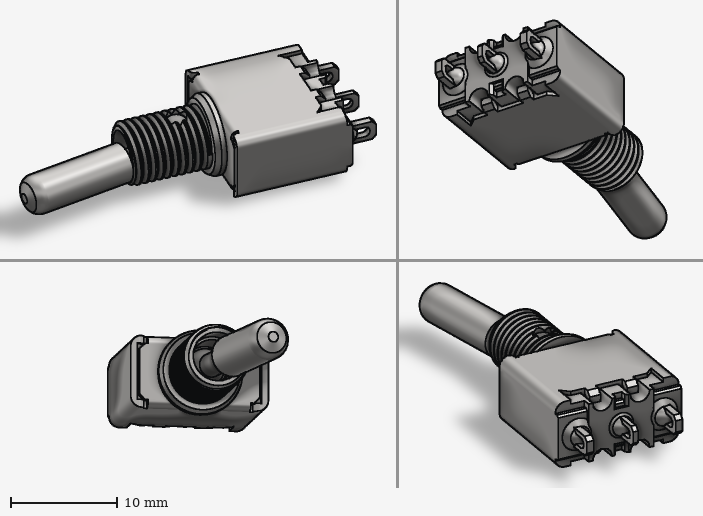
import cadquery as cq
import math

CASE_FRONT_Y = 0.0

CASE_WIDTH = 13.2
CASE_HEIGHT = 6.85
CASE_REAR_Y = 11.15
CASE_CORNER_RADIUS = 1.02
FOLD_HALF_WIDTH = 4.92
FOLD_RADIUS = 0.75
RELIEF_WIDTH = 0.3
RELIEF_DEPTH = 0.7
RELIEF_LIP_RADIUS = 0.55
RIM_THICKNESS = 0.65
RIM_GAP = 0.2
RIM_GAP_DEPTH = 0.53

BASE_HEIGHT = 6.05
SHEET_THICKNESS = (CASE_HEIGHT - BASE_HEIGHT) / 2
NOTCH_FLOOR_Y = 9.53
NOTCH_CORNER_X = 4.08
NOTCH_CORNER_Y = 8.75

CORE_HEIGHT = 4.78
CORE_REAR_Y = 11.7
CORE_CHAMFER = 0.2
BLOCK_WIDTH = 6.95
BLOCK_REAR_Y = 12.0
CHANNEL_X = 2.0
CHANNEL_RADIUS = 1.02
SLOT_WIDTH = 1.0
SLOT_MOUTH_WIDTH = 1.55
SLOT_DEPTH = 1.2
TAB_WIDTH = 1.15
TAB_LENGTH = 1.02
TAB_BEND = 0.5
TAB_THICKNESS = 0.7

TERMINAL_SPACING = 4.75
TERMINAL_WIDTH = 2.05
TERMINAL_CHAMFER = 0.42
OUTER_TERMINAL_THICKNESS = 0.75
CENTRE_TERMINAL_THICKNESS = 0.53
OUTER_TERMINAL_TIP_Y = 14.65
CENTRE_TERMINAL_TIP_Y = 14.85
EYE_WIDTH = 1.05
EYE_START_Y = 12.3
EYE_END_MARGIN = 0.65
OUTER_SEAL_SPACING = 4.5
SEAL_BASE_RADIUS = 1.65
SEAL_SHOULDER_RADIUS = 1.02
SEAL_SHOULDER_HEIGHT = 0.5
SEAL_HEIGHT = 1.2

FLANGE_RADIUS = 4.0
FLANGE_FACE_RADIUS = 3.7
FLANGE_STRAIGHT = 0.53
FLANGE_THICKNESS = 1.1
BUSHING_LENGTH = 9.0
THREAD_RADIUS = 3.13
THREAD_TURNS = 12
THREAD_PITCH = BUSHING_LENGTH / THREAD_TURNS
THREAD_DEPTH = 0.42
THREAD_START = 1.15
GROOVE_FILL = 0.92
SHANK_SEAM_ANGLE = 60
BUSHING_END_CHAMFER = 0.35
BORE_RADIUS = 2.32
BORE_DEPTH = 2.45
THROAT_RADIUS = 2.05
SPOT_RADIUS = 1.0
SPOT_DISTANCE = 3.55
SPOT_FLOOR_Z = 2.45

PIVOT_Y = -2.8
LEVER_TILT = 10.5
BALL_RADIUS = 1.83
NECK_RADIUS = 1.13
HANDLE_RADIUS = 1.97
HANDLE_START = 6.82
NOSE_START = 16.25
NOSE_BULGE_RADIUS = 1.83
NOSE_BULGE = 16.88
NOSE_CONE_RADIUS = 1.48
NOSE_CONE_START = 17.3
TIP_RADIUS = 0.5
LEVER_LENGTH = 17.72


def block(x_range, y_range, z_range):
    """Axis-aligned box between pairs of coordinates."""
    (x0, x1), (y0, y1), (z0, z1) = x_range, y_range, z_range
    return cq.Workplane("XY").box(x1 - x0, y1 - y0, z1 - z0, centered=False).translate((x0, y0, z0))


def top_and_bottom(shape):
    """The shape with its mirror image below the XY plane."""
    return shape.union(shape.mirror("XY"))


def left_and_right(shape):
    """The shape with its mirror image across the YZ plane."""
    return shape.union(shape.mirror("YZ"))


def along_bushing(shape):
    """Turn a shape built along +Z so that it points along -Y."""
    return shape.rotate((0, 0, 0), (1, 0, 0), 90)


def case_shell():
    return (
        block(
            (-CASE_WIDTH / 2, CASE_WIDTH / 2),
            (CASE_FRONT_Y, CASE_REAR_Y),
            (-CASE_HEIGHT / 2, CASE_HEIGHT / 2),
        )
        .edges("|Y")
        .fillet(CASE_CORNER_RADIUS)
    )


def rear_notch():
    """Material removed above the base where the sheets stop short of the rear."""
    notch = (
        cq.Workplane("XY", origin=(0, 0, BASE_HEIGHT / 2))
        .moveTo(-FOLD_HALF_WIDTH, CASE_REAR_Y)
        .lineTo(-FOLD_HALF_WIDTH, NOTCH_CORNER_Y)
        .lineTo(-NOTCH_CORNER_X, NOTCH_FLOOR_Y)
        .lineTo(NOTCH_CORNER_X, NOTCH_FLOOR_Y)
        .lineTo(FOLD_HALF_WIDTH, NOTCH_CORNER_Y)
        .lineTo(FOLD_HALF_WIDTH, CASE_REAR_Y)
        .close()
        .extrude(SHEET_THICKNESS)
    )
    return top_and_bottom(notch)


def fold_rounding():
    """Corner strip whose removal rounds the front edge of a folded sheet."""
    fold_z = CASE_HEIGHT / 2 - FOLD_RADIUS
    strip = (
        cq.Workplane("YZ", origin=(-FOLD_HALF_WIDTH, 0, 0))
        .moveTo(CASE_FRONT_Y, fold_z)
        .lineTo(CASE_FRONT_Y, CASE_HEIGHT / 2)
        .lineTo(CASE_FRONT_Y + FOLD_RADIUS, CASE_HEIGHT / 2)
        .radiusArc((CASE_FRONT_Y, fold_z), -FOLD_RADIUS)
        .close()
        .extrude(2 * FOLD_HALF_WIDTH)
    )
    return top_and_bottom(strip)


def fold_reliefs():
    """Slits with a rounded outer lip that part the folds from the side walls."""
    inner_x = FOLD_HALF_WIDTH
    outer_x = inner_x + RELIEF_WIDTH
    slit = (
        cq.Workplane("XY", origin=(0, CASE_FRONT_Y, CASE_HEIGHT / 2))
        .moveTo(inner_x, 0)
        .lineTo(inner_x, RELIEF_DEPTH)
        .lineTo(outer_x, RELIEF_DEPTH)
        .lineTo(outer_x, RELIEF_LIP_RADIUS)
        .radiusArc((outer_x + RELIEF_LIP_RADIUS, 0), -RELIEF_LIP_RADIUS)
        .close()
        .extrude(-FOLD_RADIUS)
    )
    return left_and_right(top_and_bottom(slit))


def rim_grooves():
    """Grooves between the front plate and the side walls, running into the slits."""
    outer_x = CASE_WIDTH / 2 - RIM_THICKNESS
    inner_x = outer_x - RIM_GAP
    slit_x = FOLD_HALF_WIDTH + RELIEF_WIDTH
    slit_z = CASE_HEIGHT / 2 - FOLD_RADIUS
    corner_z = slit_z - (inner_x - slit_x)
    groove = (
        cq.Workplane("XZ", origin=(0, CASE_FRONT_Y, 0))
        .moveTo(inner_x, 0)
        .lineTo(inner_x, corner_z)
        .lineTo(slit_x, slit_z)
        .lineTo(outer_x, slit_z)
        .lineTo(outer_x, 0)
        .close()
        .extrude(-RIM_GAP_DEPTH)
    )
    return left_and_right(top_and_bottom(groove))


def base_core():
    """Rear plate of the base, across the full width."""
    return (
        block(
            (-CASE_WIDTH / 2, CASE_WIDTH / 2),
            (CASE_REAR_Y, CORE_REAR_Y),
            (-CORE_HEIGHT / 2, CORE_HEIGHT / 2),
        )
        .edges("|X and >Y")
        .chamfer(CORE_CHAMFER)
    )


def base_block():
    """Taller middle of the base, standing out behind the core."""
    return block(
        (-BLOCK_WIDTH / 2, BLOCK_WIDTH / 2),
        (CASE_REAR_Y, BLOCK_REAR_Y),
        (-BASE_HEIGHT / 2, BASE_HEIGHT / 2),
    )


def base_channels():
    """Round-bottomed channels along the top and bottom of the base."""
    channel = (
        cq.Workplane("XZ", origin=(0, NOTCH_FLOOR_Y, 0))
        .center(CHANNEL_X, BASE_HEIGHT / 2)
        .circle(CHANNEL_RADIUS)
        .extrude(NOTCH_FLOOR_Y - BLOCK_REAR_Y)
    )
    return left_and_right(top_and_bottom(channel))


def centre_slots():
    """Slots in the middle of the base block, flared where they pass the core."""
    slot = (
        cq.Workplane("XY", origin=(0, 0, BASE_HEIGHT / 2))
        .moveTo(-SLOT_WIDTH / 2, CASE_REAR_Y)
        .lineTo(SLOT_WIDTH / 2, CASE_REAR_Y)
        .lineTo(SLOT_WIDTH / 2, CORE_REAR_Y)
        .lineTo(SLOT_MOUTH_WIDTH / 2, BLOCK_REAR_Y)
        .lineTo(-SLOT_MOUTH_WIDTH / 2, BLOCK_REAR_Y)
        .lineTo(-SLOT_WIDTH / 2, CORE_REAR_Y)
        .close()
        .extrude(-SLOT_DEPTH)
    )
    return top_and_bottom(slot)


def crimp_tabs():
    """Tabs of the sheets that lie in the channels and slope off at the end."""
    top_z = CASE_HEIGHT / 2
    tip_y = NOTCH_FLOOR_Y + TAB_LENGTH
    tab = (
        cq.Workplane("YZ", origin=(CHANNEL_X - TAB_WIDTH / 2, 0, 0))
        .moveTo(NOTCH_FLOOR_Y, top_z)
        .lineTo(tip_y - TAB_BEND, top_z)
        .lineTo(tip_y, top_z - TAB_BEND)
        .lineTo(tip_y, top_z - TAB_BEND - TAB_THICKNESS)
        .lineTo(NOTCH_FLOOR_Y, top_z - TAB_THICKNESS)
        .close()
        .extrude(TAB_WIDTH)
    )
    return left_and_right(top_and_bottom(tab))


def terminal(x, seal_x, thickness, tip_y):
    """Flat blade with an eye, set in a domed seal."""
    blade = (
        block(
            (x - thickness / 2, x + thickness / 2),
            (CORE_REAR_Y, tip_y),
            (-TERMINAL_WIDTH / 2, TERMINAL_WIDTH / 2),
        )
        .edges("|X and >Y")
        .chamfer(TERMINAL_CHAMFER)
    )
    eye_end_y = tip_y - EYE_END_MARGIN
    eye = (
        cq.Workplane("YZ", origin=(x - thickness / 2, (EYE_START_Y + eye_end_y) / 2, 0))
        .slot2D(eye_end_y - EYE_START_Y, EYE_WIDTH)
        .extrude(thickness)
    )
    cap_rise = SEAL_HEIGHT - SEAL_SHOULDER_HEIGHT
    cap_radius = (SEAL_SHOULDER_RADIUS**2 + cap_rise**2) / (2 * cap_rise)
    seal = (
        cq.Workplane("XY")
        .moveTo(0, 0)
        .lineTo(SEAL_BASE_RADIUS, 0)
        .lineTo(SEAL_SHOULDER_RADIUS, SEAL_SHOULDER_HEIGHT)
        .radiusArc((0, SEAL_HEIGHT), -cap_radius)
        .close()
        .revolve(360, (0, 0, 0), (0, 1, 0))
        .translate((seal_x, CORE_REAR_Y, 0))
    )
    return blade.cut(eye).union(seal)


def thread_groove():
    """Right-handed V groove, built along +Z and starting on the +X side."""
    half_mouth = GROOVE_FILL * THREAD_PITCH / 2
    overshoot = 0.07
    path = cq.Wire.makeHelix(THREAD_PITCH, BUSHING_LENGTH - THREAD_START + THREAD_PITCH, THREAD_RADIUS)
    groove = (
        cq.Workplane("XZ")
        .moveTo(THREAD_RADIUS + overshoot, -half_mouth)
        .lineTo(THREAD_RADIUS - THREAD_DEPTH, 0)
        .lineTo(THREAD_RADIUS + overshoot, half_mouth)
        .close()
        .sweep(cq.Workplane(path), isFrenet=True)
    )
    return groove.translate((0, 0, THREAD_START))


def end_bevel():
    """Ring whose removal chamfers the open end of the thread, built along +Z."""
    margin = 0.35
    outer_radius = THREAD_RADIUS + margin
    end_z = BUSHING_LENGTH + margin
    leg = BUSHING_END_CHAMFER + 2 * margin
    return (
        cq.Workplane("XZ")
        .moveTo(outer_radius, end_z)
        .lineTo(outer_radius, end_z - leg)
        .lineTo(outer_radius - leg, end_z)
        .close()
        .revolve(360, (0, 0, 0), (0, 1, 0))
        .rotate((0, 0, 0), (0, 0, 1), SHANK_SEAM_ANGLE)
    )


def bushing():
    shank = (
        cq.Workplane("XY")
        .circle(THREAD_RADIUS)
        .extrude(BUSHING_LENGTH)
        .rotate((0, 0, 0), (0, 0, 1), SHANK_SEAM_ANGLE)
        .cut(thread_groove())
        .cut(end_bevel())
    )
    flange = (
        cq.Workplane("XZ")
        .moveTo(0, 0)
        .lineTo(FLANGE_RADIUS, 0)
        .lineTo(FLANGE_RADIUS, FLANGE_STRAIGHT)
        .lineTo(FLANGE_FACE_RADIUS, FLANGE_THICKNESS)
        .lineTo(0, FLANGE_THICKNESS)
        .close()
        .revolve(360, (0, 0, 0), (0, 1, 0))
    )
    return along_bushing(shank.union(flange))


def lever_cavity():
    """Stepped bore that ends in a round seat matching the lever ball."""
    ball_z = -PIVOT_Y
    bore = cq.Workplane("XY", origin=(0, 0, BUSHING_LENGTH)).circle(BORE_RADIUS).extrude(-BORE_DEPTH)
    throat = cq.Workplane("XY", origin=(0, 0, ball_z)).circle(THROAT_RADIUS).extrude(BUSHING_LENGTH - ball_z)
    seat = cq.Workplane("XY").sphere(BALL_RADIUS).translate((0, 0, ball_z))
    return along_bushing(bore.union(throat).union(seat))


def thread_spot():
    """Flat-bottomed round spot sunk into the top of the thread."""
    return (
        cq.Workplane("XY", origin=(0, -SPOT_DISTANCE, SPOT_FLOOR_Z))
        .circle(SPOT_RADIUS)
        .extrude(THREAD_RADIUS - SPOT_FLOOR_Z)
    )


def make_housing():
    case = case_shell().cut(rear_notch()).cut(fold_rounding()).cut(fold_reliefs()).cut(rim_grooves())
    base = base_block().cut(centre_slots()).union(base_core())
    body = case.union(base).cut(base_channels()).union(crimp_tabs())
    for side in (-1, 1):
        x = side * TERMINAL_SPACING
        seal_x = side * OUTER_SEAL_SPACING
        body = body.union(terminal(x, seal_x, OUTER_TERMINAL_THICKNESS, OUTER_TERMINAL_TIP_Y))
    body = body.union(terminal(0, 0, CENTRE_TERMINAL_THICKNESS, CENTRE_TERMINAL_TIP_Y))
    return body.union(bushing()).cut(lever_cavity()).cut(thread_spot())


def make_lever():
    """Ball, neck and handle turned about one axis, tilted towards +X."""
    neck_root = math.sqrt(BALL_RADIUS**2 - NECK_RADIUS**2)
    ball = (
        cq.Workplane("XY")
        .moveTo(0, BALL_RADIUS)
        .radiusArc((0, -BALL_RADIUS), BALL_RADIUS)
        .close()
        .revolve(360, (0, 0, 0), (0, 1, 0))
    )
    stick = (
        cq.Workplane("XY")
        .moveTo(0, 0)
        .lineTo(NECK_RADIUS, -neck_root)
        .lineTo(NECK_RADIUS, -HANDLE_START)
        .lineTo(HANDLE_RADIUS, -HANDLE_START)
        .lineTo(HANDLE_RADIUS, -NOSE_START)
        .threePointArc((NOSE_BULGE_RADIUS, -NOSE_BULGE), (NOSE_CONE_RADIUS, -NOSE_CONE_START))
        .lineTo(TIP_RADIUS, -LEVER_LENGTH)
        .lineTo(0, -LEVER_LENGTH)
        .close()
        .revolve(360, (0, 0, 0), (0, 1, 0))
    )
    return ball.union(stick).rotate((0, 0, 0), (0, 0, 1), LEVER_TILT).translate((0, PIVOT_Y, 0))


housing = make_housing()
lever = make_lever()

result = cq.Compound.makeCompound([housing.solids().val(), lever.solids().val()])